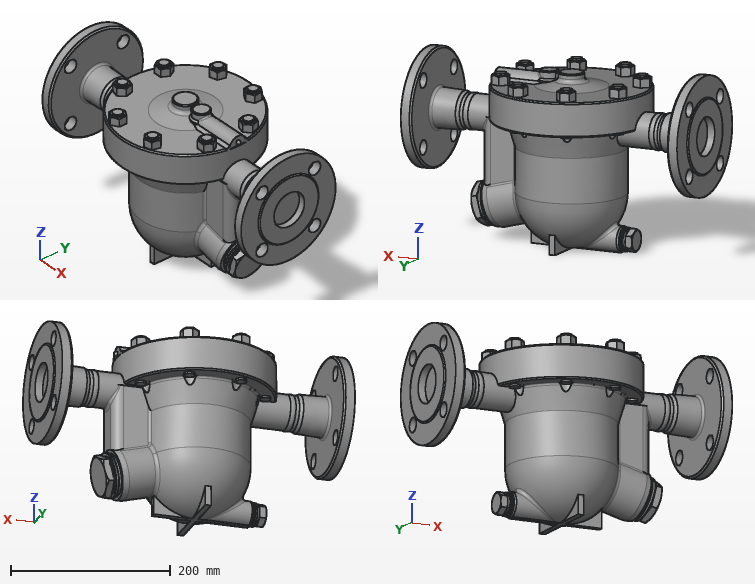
import cadquery as cq
import math


total_height = 237.5

pipe_diameter = 46.0
run_middle = 7.0
run_half_length = 195.0
flange_diameter = 155.0
pipe_z = total_height - flange_diameter / 2
flange_thickness = 14.5
flange_chamfer = 2.5
raised_face_outer_radius = 49.5
raised_face_inner_radius = 47.5
raised_face_height = 1.5
flange_bolt_radius = 61.0
flange_hole_diameter = 19.0
flange_hole_count = 4
flange_hole_angle = 45
bore_diameter = 50.0
bore_depth = 10.0
neck_root_radius = 58.0 / 2
neck_wide_radius = 52.0 / 2
neck_narrow_radius = 50.0 / 2
neck_fillet_length = 3.0
neck_length = 36.0
neck_step_length = 4.5
bead_start = 45.2
bead_width = 7.0
bead_height = 0.8

body_radius = 71.0
cone_bottom = 129.5
cone_top_radius = 80.5
cone_fillet = 2.7
flange_bottom = 162.5
cover_top = 207.5
cover_radius = 103.0
cover_edge_chamfer = 2.0
foot_thickness = 7.8
foot_reach = 54.5
foot_height = 27.0

dome_radius = 46.8
dome_top = 213.0
main_boss_radius = 33.0 / 2
main_boss_fillet = 5.5
boss_top = 224.5
boss_chamfer = 1.5
side_boss_x = 31.2
side_boss_radius = 12.5
side_boss_foot_radius = 15.2
side_boss_foot_top = 212.0
boss_tube_fillet = 2.5
boss_bridge_width = 9.5
boss_bridge_top = 221.5
tube_radius = 13.5
tube_top = 220.0
tube_end = 102.0
tube_flare_half_width = 18.0
tube_flare_top = 211.0
tube_root_z = 187.2
tube_stud_radius = 3.0
tube_stud_offset = 1.0

bolt_count = 8
bolt_circle_radius = 89.0
stud_diameter = 14.0
stud_top = 222.3
stud_bottom = 160.0
nut_flats = 21.0
nut_height = 12.5
nut_chamfer = 2.0
nut_turn = 22.5
spot_face_radius = 22.2 / 2

web_half_width = 24.0
web_end = 115.0
web_foot_x = 93.5
web_foot_z = 45.0
web_end_bottom = 75.0
web_corner_radius = 13.3

holder_tilt = 15.0
holder_offset = 73.5
holder_radius = 67.5 / 2
holder_straight_end = 84.2
holder_end = 92.0
holder_end_radius = 32.0
screen_gasket_end = 96.0
screen_gasket_radius = 27.5
screen_collar_end = 99.5
screen_collar_radius = 58.0 / 2
screen_neck_radius = 25.0
screen_hex_start = 101.8
screen_hex_end = 111.5
screen_hex_flats = 49.5

joint_fillet = 4.0
selection_margin = 0.5
holder_fillet = 6.0
holder_joint_reach = 74.0
web_joint_start = 78.0
web_joint_end = 105.3
web_joint_low = 71.5
web_joint_high = 84.0

drain_boss_radius = 33.0 / 2
drain_floor = 0.5
drain_z = drain_boss_radius + drain_floor
drain_boss_end = 71.0
drain_chamfer_end = 73.7
drain_chamfer_radius = 15.5
drain_groove_end = 76.0
drain_groove_radius = 14.0
drain_collar_end = 78.8
drain_collar_radius = 15.2
drain_hex_start = 82.0
drain_hex_end = 91.3
drain_hex_flats = 26.0


def edges_within(shape, low_corner, high_corner):
    """Edges whose centres lie in the box between two corners."""
    return shape.edges(cq.selectors.BoxSelector(low_corner, high_corner))


def chamfered_hexagon(flats, start, end, chamfer=0):
    """Hexagonal head along Z whose end corners are turned down to a cone."""
    corner_radius = flats / 2 / math.cos(math.pi / 6)
    end_radius = flats / 2 - chamfer / 2
    head = cq.Workplane("XY").workplane(offset=start).polygon(6, 2 * corner_radius).extrude(end - start)
    slope_height = (corner_radius - end_radius) * math.tan(math.pi / 6)
    envelope = (
        cq.Workplane("XZ")
        .moveTo(0, start)
        .lineTo(corner_radius, start)
        .lineTo(corner_radius, end - slope_height)
        .lineTo(end_radius, end)
        .lineTo(0, end)
        .close()
        .revolve(360, (0, 0, 0), (0, 1, 0))
    )
    return head.intersect(envelope)


def stepped_turning(points):
    """Solid of revolution about Z from (radius, height) points, closed along the axis."""
    outline = [(0, points[0][1])] + points + [(0, points[-1][1])]
    return cq.Workplane("XZ").polyline(outline).close().revolve(360, (0, 0, 0), (0, 1, 0))


def pipe_end():
    """Half of the pipe run along +Z, from the middle of the run to its flanged end."""
    face = run_half_length
    front = face - raised_face_height
    back = front - flange_thickness
    disc_radius = flange_diameter / 2
    pipe_radius = pipe_diameter / 2
    neck_start = back - neck_length
    bead_outer = back - bead_start
    bead_inner = bead_outer - bead_width
    run = (
        cq.Workplane("XZ")
        .lineTo(pipe_radius, 0)
        .lineTo(pipe_radius, bead_inner)
        .threePointArc((pipe_radius + bead_height, bead_inner + bead_width / 2), (pipe_radius, bead_outer))
        .lineTo(pipe_radius, neck_start - neck_step_length)
        .lineTo(neck_narrow_radius, neck_start)
        .lineTo(neck_wide_radius, back - neck_fillet_length)
        .radiusArc((neck_root_radius, back), neck_fillet_length)
        .lineTo(disc_radius - flange_chamfer, back)
        .lineTo(disc_radius, back + flange_chamfer)
        .lineTo(disc_radius, front)
        .lineTo(raised_face_outer_radius, front)
        .lineTo(raised_face_inner_radius, face)
        .lineTo(0, face)
        .close()
        .revolve(360, (0, 0, 0), (0, 1, 0))
    )
    holes = (
        cq.Workplane("XY")
        .workplane(offset=back)
        .polarArray(flange_bolt_radius, flange_hole_angle, 360, flange_hole_count)
        .circle(flange_hole_diameter / 2)
        .extrude(flange_thickness)
    )
    bore = (
        cq.Workplane("XY")
        .workplane(offset=face - bore_depth)
        .circle(bore_diameter / 2)
        .extrude(bore_depth)
    )
    return run.cut(holes).cut(bore)


def pipe_side(direction):
    end = pipe_end().rotate((0, 0, 0), (0, 1, 0), 90 * direction)
    return end.translate((run_middle, 0, pipe_z))


def body():
    """Bowl, cone and both halves of the bolted joint, with the dome and neck of the cover."""
    return (
        cq.Workplane("XZ")
        .threePointArc(
            (body_radius * math.sin(math.pi / 4), body_radius * (1 - math.cos(math.pi / 4))),
            (body_radius, body_radius),
        )
        .lineTo(body_radius, cone_bottom)
        .lineTo(cone_top_radius, flange_bottom - cone_fillet)
        .radiusArc((cone_top_radius + cone_fillet, flange_bottom), cone_fillet)
        .lineTo(cover_radius - cover_edge_chamfer, flange_bottom)
        .lineTo(cover_radius, flange_bottom + cover_edge_chamfer)
        .lineTo(cover_radius, cover_top - cover_edge_chamfer)
        .lineTo(cover_radius - cover_edge_chamfer, cover_top)
        .lineTo(dome_radius, cover_top)
        .lineTo(main_boss_radius + main_boss_fillet, dome_top)
        .radiusArc((main_boss_radius, dome_top + main_boss_fillet), main_boss_fillet)
        .lineTo(main_boss_radius, boss_top - boss_chamfer)
        .lineTo(main_boss_radius - boss_chamfer, boss_top)
        .lineTo(0, boss_top)
        .close()
        .revolve(360, (0, 0, 0), (0, 1, 0))
    )


def lengthwise_foot(reach, height):
    """Foot along X from the body axis; a negative reach points toward -X."""
    return cq.Workplane("XY").rect(reach, foot_thickness, centered=(False, True)).extrude(height)


def feet():
    """Two feet across Y, and a lengthwise one from under the drain boss toward +X."""
    across = cq.Workplane("XY").rect(foot_thickness, 2 * foot_reach).extrude(foot_height)
    outlet_side = lengthwise_foot(foot_reach, foot_height)
    drain_side = lengthwise_foot(-drain_boss_end, drain_z)
    return across.union(outlet_side).union(drain_side)


def web():
    """Upright passage from the screen holder to the outlet pipe."""
    outline = [
        (0, web_foot_z),
        (web_foot_x, web_foot_z),
        (web_end, web_end_bottom),
        (web_end, pipe_z),
        (0, pipe_z),
    ]
    return (
        cq.Workplane("XZ")
        .polyline(outline)
        .close()
        .extrude(web_half_width, both=True)
        .edges("|Z and >X")
        .fillet(web_corner_radius)
    )


def screen_holder():
    holder = stepped_turning([
        (holder_radius, 0),
        (holder_radius, holder_straight_end),
        (holder_end_radius, holder_end),
        (screen_gasket_radius, holder_end),
        (screen_gasket_radius, screen_gasket_end),
        (screen_collar_radius, screen_gasket_end),
        (screen_collar_radius, screen_collar_end),
        (screen_neck_radius, screen_collar_end),
        (screen_neck_radius, screen_hex_start),
    ])
    head = chamfered_hexagon(screen_hex_flats, screen_hex_start, screen_hex_end)
    tilt = math.radians(holder_tilt)
    return (
        holder.union(head)
        .rotate((0, 0, 0), (0, 1, 0), 90 + holder_tilt)
        .translate((holder_offset * math.sin(tilt), 0, holder_offset * math.cos(tilt)))
    )


def drain():
    boss = stepped_turning([
        (drain_boss_radius, 0),
        (drain_boss_radius, drain_boss_end),
        (drain_chamfer_radius, drain_chamfer_end),
        (drain_groove_radius, drain_chamfer_end),
        (drain_groove_radius, drain_groove_end),
        (drain_collar_radius, drain_groove_end),
        (drain_collar_radius, drain_collar_end),
        (drain_groove_radius, drain_collar_end),
        (drain_groove_radius, drain_hex_start),
    ])
    head = chamfered_hexagon(drain_hex_flats, drain_hex_start, drain_hex_end)
    return boss.union(head).rotate((0, 0, 0), (0, 1, 0), -90).translate((0, 0, drain_z))


def cover_tube():
    """Passage along the top of the cover: side boss, bridge to the main boss, and tube."""
    side_boss = (
        cq.Workplane("XY")
        .workplane(offset=cover_top)
        .center(side_boss_x, 0)
        .circle(side_boss_radius)
        .extrude(boss_top - cover_top)
        .faces(">Z")
        .chamfer(boss_chamfer)
    )
    bridge = (
        cq.Workplane("XY")
        .workplane(offset=cover_top)
        .rect(side_boss_x, boss_bridge_width, centered=(False, True))
        .extrude(boss_bridge_top - cover_top)
    )
    tube_axis_z = tube_top - tube_radius
    flare_join = math.sqrt(tube_radius**2 - (tube_flare_top - tube_axis_z) ** 2)
    tube = (
        cq.Workplane("YZ")
        .workplane(offset=side_boss_x)
        .moveTo(-tube_flare_half_width, tube_root_z)
        .lineTo(-tube_flare_half_width, cover_top)
        .lineTo(-flare_join, tube_flare_top)
        .threePointArc((0, tube_top), (flare_join, tube_flare_top))
        .lineTo(tube_flare_half_width, cover_top)
        .lineTo(tube_flare_half_width, tube_root_z)
        .close()
        .extrude(tube_end - side_boss_x)
    )
    cover_outline = cq.Workplane("XY").circle(cover_radius).extrude(boss_top)
    stud_place = (tube_end + tube_stud_offset, 0, tube_flare_top)
    end_stud = cq.Workplane("XY").sphere(tube_stud_radius).translate(stud_place)
    raised_run = side_boss.union(tube.intersect(cover_outline))
    raised_run = edges_within(
        raised_run,
        (side_boss_x + selection_margin, -side_boss_radius, tube_flare_top),
        (side_boss_x + side_boss_radius, side_boss_radius, tube_top + selection_margin),
    ).fillet(boss_tube_fillet)
    foot_flare = side_boss_foot_radius - side_boss_radius
    boss_foot = stepped_turning([
        (side_boss_foot_radius, cover_top),
        (side_boss_foot_radius, side_boss_foot_top),
        (side_boss_radius, side_boss_foot_top + foot_flare),
    ]).translate((side_boss_x, 0, 0))
    return raised_run.union(boss_foot).union(bridge).union(end_stud)


def around_bolt_circle(shape):
    copies = cq.Workplane("XY")
    step = 360 / bolt_count
    placed = shape.translate((bolt_circle_radius, 0, 0))
    for index in range(bolt_count):
        copies = copies.add(placed.rotate((0, 0, 0), (0, 0, 1), step * (index + 0.5)))
    return copies.combine()


def cover_bolt():
    stud = (
        cq.Workplane("XY")
        .workplane(offset=stud_bottom)
        .circle(stud_diameter / 2)
        .extrude(stud_top - stud_bottom)
    )
    nut = chamfered_hexagon(nut_flats, cover_top, cover_top + nut_height, nut_chamfer)
    return stud.union(nut.rotate((0, 0, 0), (0, 0, 1), nut_turn))


def spot_face():
    """Room for a bolt end under the joint, cut into the cone."""
    return (
        cq.Workplane("XY")
        .workplane(offset=cone_bottom)
        .circle(spot_face_radius)
        .extrude(flange_bottom - cone_bottom)
    )


def lower_casting():
    """Body, web, screen holder, drain and feet, with rounded joints between them."""
    casting = edges_within(
        body().cut(around_bolt_circle(spot_face())).union(drain()),
        (-body_radius + drain_boss_radius, -drain_boss_radius, selection_margin),
        (-foot_thickness / 2, drain_boss_radius, 2 * drain_boss_radius),
    ).fillet(joint_fillet)
    casting = edges_within(
        casting.union(screen_holder()),
        (body_radius / 4, -holder_radius, 0),
        (holder_joint_reach, holder_radius, cone_bottom - joint_fillet),
    ).fillet(holder_fillet)
    casting = edges_within(
        casting.union(web()),
        (web_joint_start, -holder_radius, web_joint_low),
        (web_joint_end, holder_radius, web_joint_high),
    ).fillet(joint_fillet)
    return casting.union(feet())


def castings_with_pipe():
    """Lower casting joined to the pipe run, with the web blended into the outlet pipe."""
    joined = lower_casting().union(pipe_side(-1)).union(pipe_side(1))
    return edges_within(
        joined,
        (web_end - web_corner_radius - selection_margin, -web_half_width, cone_bottom),
        (web_end + selection_margin, web_half_width, pipe_z - selection_margin),
    ).fillet(joint_fillet)


result = (
    castings_with_pipe()
    .union(cover_tube())
    .union(around_bolt_circle(cover_bolt()))
)